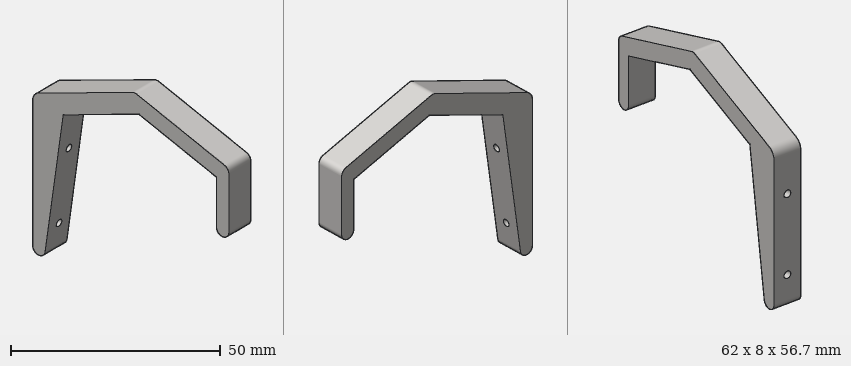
import cadquery as cq
import math

length = 62.0
width = 8.0

shoulder_z = 44.15
peak_x, peak_z = 32.25, 56.8
hook_corner_z = 47.25

inner_shoulder_x, inner_shoulder_z = 9.7, 41.85
inner_peak_x, inner_peak_z = 33.55, 51.3
inner_hook_z = 43.4

end_radius = 2.0
shoulder_radius = 3.0
corner_radius = 2.0

hook_tip_z = 27.65
hook_thickness = 2 * end_radius

hole_diameter = 2.0
hole_heights = (9.0, 31.4)

foot_dx = inner_shoulder_x - end_radius
foot_dz = inner_shoulder_z - end_radius
tangent_angle = math.atan2(foot_dz, foot_dx) - math.acos(end_radius / math.hypot(foot_dx, foot_dz))
normal_x = math.cos(tangent_angle)
normal_z = math.sin(tangent_angle)
foot_tangent = (end_radius + end_radius * normal_x, end_radius + end_radius * normal_z)


def make_bracket():
    """Bent bar of constant width, with rounded ends and outer corners."""
    body = (
        cq.Workplane("XZ")
        .moveTo(0, end_radius)
        .lineTo(0, shoulder_z)
        .lineTo(peak_x, peak_z)
        .lineTo(length, hook_corner_z)
        .lineTo(length, hook_tip_z + end_radius)
        .threePointArc(
            (length - end_radius, hook_tip_z),
            (length - hook_thickness, hook_tip_z + end_radius),
        )
        .lineTo(length - hook_thickness, inner_hook_z)
        .lineTo(inner_peak_x, inner_peak_z)
        .lineTo(inner_shoulder_x, inner_shoulder_z)
        .lineTo(*foot_tangent)
        .threePointArc((end_radius, 0), (0, end_radius))
        .close()
        .extrude(width / 2, both=True)
    )
    rounded_corners = (
        (0, shoulder_z, shoulder_radius),
        (peak_x, peak_z, corner_radius),
        (length, hook_corner_z, corner_radius),
    )
    for x, z, radius in rounded_corners:
        edge = cq.selectors.NearestToPointSelector((x, 0, z))
        body = body.edges("|Y").edges(edge).fillet(radius)
    return body


def make_hole(height):
    """Cylinder square to the slanted inner face, passing through the long leg only."""
    overshoot = hole_diameter
    depth = inner_shoulder_x + 2 * overshoot
    axis = cq.Vector(normal_x, 0, normal_z)
    start = cq.Vector(0, 0, height) - axis * overshoot
    return cq.Solid.makeCylinder(hole_diameter / 2, depth, start, axis)


result = make_bracket()
for hole_height in hole_heights:
    result = result.cut(cq.Workplane(make_hole(hole_height)))